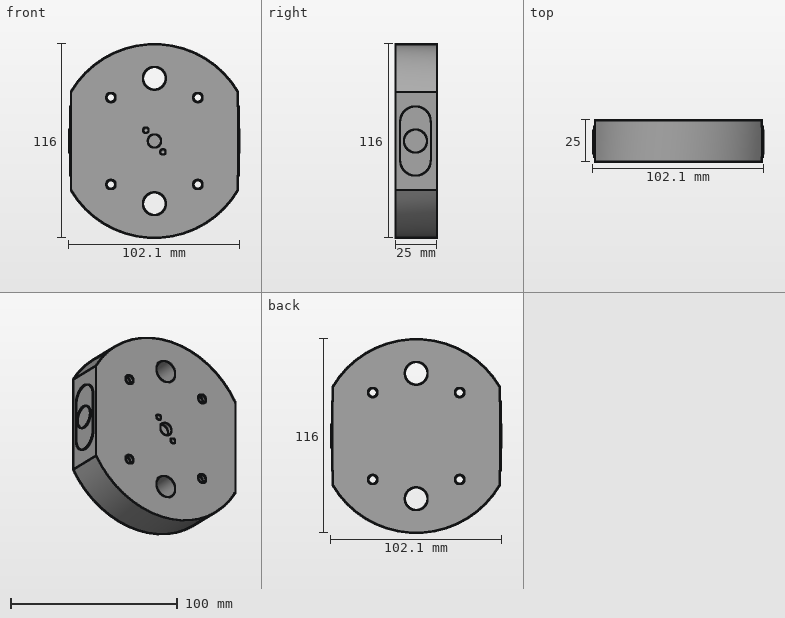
import cadquery as cq
import math

disc_diameter = 116.0
plate_thickness = 25.0
width_across_flats = 100.0
front_y = -plate_thickness / 2

total_width = 102.11
right_pad_height = 0.5
left_pad_height = 0.6
right_button_reach = 1.0
left_button_reach = total_width - width_across_flats - right_button_reach
pad_length = 41.5
pad_width = 18.3
button_diameter = 13.8
pad_center_y = -0.5

large_hole_diameter = 13.5
large_hole_spacing = 75.0

mounting_neck_diameter = 5.2
mounting_hole_spacing = 52.0
mounting_mouth_diameter = 5.7
mounting_chamfer_depth = 0.25
mounting_bore_diameter = mounting_mouth_diameter
mounting_bore_start = 3.5

center_bore_diameter = 8.0
center_bore_depth = 3.7
dowel_hole_diameter = 3.3
dowel_hole_depth = 8.0
dowel_offset_x = 5.1
dowel_offset_z = 6.5
drill_point_angle = 118.0


def front_cylinder(x, z, diameter, length, depth=0):
    """Cylinder running into the plate, starting at the given depth below the front face."""
    start = cq.Vector(x, front_y + depth, z)
    return cq.Workplane(cq.Solid.makeCylinder(diameter / 2, length, start, cq.Vector(0, 1, 0)))


def front_cone(x, z, start_diameter, end_diameter, length, depth=0):
    """Cone running into the plate, starting at the given depth below the front face."""
    start = cq.Vector(x, front_y + depth, z)
    axis = cq.Vector(0, 1, 0)
    return cq.Workplane(cq.Solid.makeCone(start_diameter / 2, end_diameter / 2, length, start, axis))


def make_plate():
    disc = cq.Workplane("XZ").circle(disc_diameter / 2).extrude(plate_thickness / 2, both=True)
    flats = cq.Workplane("XY").box(width_across_flats, plate_thickness, disc_diameter)
    return disc.intersect(flats)


def make_pad(side, pad_height, button_reach):
    """Rounded pad with a round button on top, on the flat at side = -1 or +1."""
    flat = cq.Workplane("YZ", origin=(side * width_across_flats / 2, pad_center_y, 0))
    pad = flat.slot2D(pad_length, pad_width, 90).extrude(side * pad_height)
    button = flat.circle(button_diameter / 2).extrude(side * button_reach)
    return pad.union(button)


def make_mounting_hole(x, z):
    flare_depth = mounting_bore_start - mounting_chamfer_depth
    bore_length = plate_thickness - mounting_bore_start
    neck = front_cylinder(x, z, mounting_neck_diameter, mounting_bore_start)
    chamfer = front_cone(x, z, mounting_mouth_diameter, mounting_neck_diameter, mounting_chamfer_depth)
    flare = front_cone(
        x, z, mounting_neck_diameter, mounting_bore_diameter, mounting_chamfer_depth, flare_depth
    )
    bore = front_cylinder(x, z, mounting_bore_diameter, bore_length, mounting_bore_start)
    return neck.union(chamfer).union(flare).union(bore)


def make_dowel_hole(x, z):
    point_length = dowel_hole_diameter / 2 / math.tan(math.radians(drill_point_angle / 2))
    hole = front_cylinder(x, z, dowel_hole_diameter, dowel_hole_depth)
    return hole.union(front_cone(x, z, dowel_hole_diameter, 0, point_length, dowel_hole_depth))


result = make_plate()
result = result.union(make_pad(-1, left_pad_height, left_button_reach))
result = result.union(make_pad(1, right_pad_height, right_button_reach))

for side_z in (-1, 1):
    large_hole_z = side_z * large_hole_spacing / 2
    result = result.cut(front_cylinder(0, large_hole_z, large_hole_diameter, plate_thickness))
    for side_x in (-1, 1):
        mounting_x = side_x * mounting_hole_spacing / 2
        mounting_z = side_z * mounting_hole_spacing / 2
        result = result.cut(make_mounting_hole(mounting_x, mounting_z))

result = result.cut(front_cylinder(0, 0, center_bore_diameter, center_bore_depth))
for side in (-1, 1):
    result = result.cut(make_dowel_hole(side * dowel_offset_x, -side * dowel_offset_z))